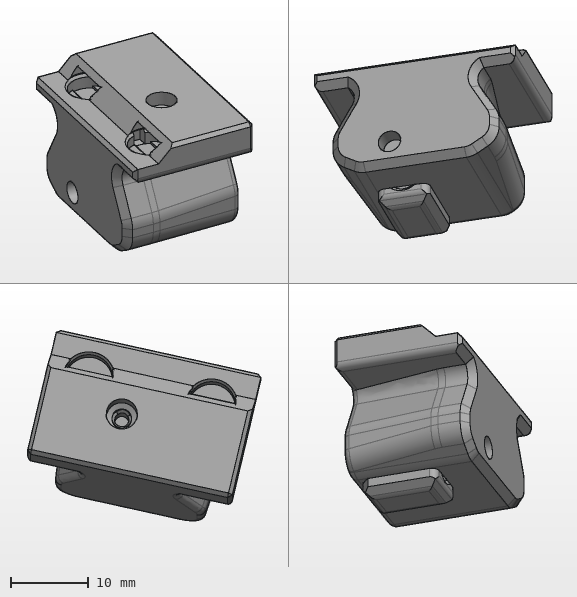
import cadquery as cq
import math

length = 27.0
width = 17.5
plate_bottom_z = 12.9
ledge_z = 15.28
plate_top_z = 17.58
slope_top_y = -2.95
edge_chamfer = 0.5
front_chamfer = 1.0
back_fillet = 0.92
plate_side_fillet = 1.0

grip_half_width = 11.15
grip_radius = 3.0
neck_radius = 2.0
bottom_half_width = 6.78
shoulder_z = 5.0
taper_start_y = -4.72
taper_inset = 1.35
taper_blend_length = 1.0
neck_tangent_z_front = 10.3
neck_tangent_z_back = 10.9

pocket_x = 8.1
pocket_y = -3.4
pocket_diameter = 6.3
pocket_ceiling_z = 16.82
groove_diameter = 6.75
groove_top_z = 15.63
groove_middle_z = 15.34
groove_bottom_z = 14.95
notch_inner_x = 3.78
notch_outer_x = 5.43
notch_front_y = -4.3
notch_back_y = -2.7
notch_top_z = 15.4

disc_diameter = 6.1
disc_thickness = 0.49
disc_top_z = 13.64
slot_depth = 0.32
slot_bevel = 0.15
left_slot_y = (-4.55, -1.75)
right_slot_y = (-4.2, -2.02)

bore_x = 2.73
bore_y = 1.05
bore_diameter = 4.0
bore_depth = 1.92
bore_cone_depth = 0.35
neck_bore_diameter = 2.5
neck_bore_depth = 0.27
tip_bore_diameter = 1.8
tip_bore_depth = 2.15

button_x = -3.27
button_width = 6.97
button_front_y = -2.92
button_back_y = 7.5
button_bottom_z = -2.4
button_top_z = 5.0
button_corner = 1.0
button_rounding = 1.0
button_bottom_chamfer = 1.22
button_bore_diameter = 4.0
button_bore_z = 1.92
button_bore_depth = 4.0
button_bore_chamfer = 0.5

pin_hole_diameter = 3.0
pin_diameter = 2.9
pin_z = 3.45
pin_recess = 2.27

front_y = -width / 2
back_y = width / 2
facet_angle = 30
sin_facet = math.sin(math.radians(facet_angle))
cos_facet = math.cos(math.radians(facet_angle))
tan_facet = math.tan(math.radians(facet_angle))


def point_on_circle(center, radius, degrees):
    angle = math.radians(degrees)
    return (center[0] + radius * math.cos(angle), center[1] + radius * math.sin(angle))


def grip_profile(y, inset, neck_tangent_z):
    """Closed grip outline at the given Y, symmetric about X = 0."""
    half_width = grip_half_width - inset

    bottom_center = (bottom_half_width, grip_radius)
    facet_start = point_on_circle(bottom_center, grip_radius, facet_angle - 90)
    facet_rise = (half_width - facet_start[0]) * tan_facet
    corner_z = facet_start[1] + facet_rise + grip_radius * tan_facet
    corner_center = (half_width - grip_radius, corner_z)

    shoulder_center = (half_width - grip_radius, shoulder_z)
    shoulder_end = point_on_circle(shoulder_center, grip_radius, facet_angle)
    neck_start = (shoulder_end[0] - (neck_tangent_z - shoulder_end[1]) * tan_facet, neck_tangent_z)
    neck_center = (neck_start[0] + neck_radius * cos_facet, neck_start[1] + neck_radius * sin_facet)
    neck_start_angle = 180 + facet_angle
    neck_end_angle = 180 - math.degrees(math.asin((plate_bottom_z - neck_center[1]) / neck_radius))

    arcs = [
        (bottom_center, grip_radius, -90, facet_angle - 90),
        (corner_center, grip_radius, facet_angle - 90, 0),
        (shoulder_center, grip_radius, 0, facet_angle),
        (neck_center, neck_radius, neck_start_angle, neck_end_angle),
    ]
    right_side = [
        [point_on_circle(center, radius, angle) for angle in (start, (start + end) / 2, end)]
        for center, radius, start, end in arcs
    ]
    left_side = [[(-x, z) for x, z in reversed(arc)] for arc in reversed(right_side)]

    outline = cq.Workplane("XZ", origin=(0, y, 0)).moveTo(-bottom_half_width, 0)
    for start, middle, end in right_side + left_side:
        outline = outline.lineTo(*start).threePointArc(middle, end)
    return outline.close()


def z_cylinder(x, y, diameter, bottom_z, top_z):
    return cq.Workplane(origin=(x, y, bottom_z)).circle(diameter / 2).extrude(top_z - bottom_z)


def box_between(low, high):
    size = [b - a for a, b in zip(low, high)]
    return cq.Workplane().box(*size, centered=False).translate(tuple(low))


def bottom_edges_at(y):
    """Selects the edges at the given Y that run around the grip and the plate bottom."""
    margin = 0.03
    return cq.selectors.BoxSelector(
        (-length, y - margin, -margin), (length, y + margin, plate_bottom_z + margin)
    )


def make_grip():
    """Straight front stretch, a short gentle taper, then the full taper to the back."""
    straight = grip_profile(front_y, 0, neck_tangent_z_front).extrude(front_y - taper_start_y)

    full_taper_y = taper_start_y + taper_blend_length
    kink_y = (taper_start_y + full_taper_y) / 2
    blend_share = (full_taper_y - kink_y) / (back_y - kink_y)
    neck_rise = neck_tangent_z_back - neck_tangent_z_front
    sections = [
        grip_profile(y, share * taper_inset, neck_tangent_z_front + share * neck_rise).wires().val()
        for y, share in ((taper_start_y, 0), (full_taper_y, blend_share), (back_y, 1))
    ]
    return straight.union(cq.Workplane(cq.Solid.makeLoft(sections, True)))


def make_envelope():
    """Block with the chamfered corners and the chamfered top of the plate."""
    block = box_between((-length / 2, front_y, 0), (length / 2, back_y, plate_top_z))
    top_edges = block.faces(">Z").edges(">Y or <X or >X").vals()
    return block.edges("|Z").add(top_edges).chamfer(edge_chamfer)


def make_front_step():
    """Material removed above the slope, the ledge and its front chamfer."""
    slope_bottom_y = slope_top_y - (plate_top_z - ledge_z)
    return (
        cq.Workplane("YZ", origin=(-length / 2, 0, 0))
        .moveTo(slope_top_y, plate_top_z)
        .lineTo(slope_bottom_y, ledge_z)
        .lineTo(front_y + edge_chamfer, ledge_z)
        .lineTo(front_y, ledge_z - edge_chamfer)
        .lineTo(front_y, plate_top_z)
        .close()
        .extrude(length)
    )


def make_side_rounding(side):
    """Material outside the rounded bottom edge of the plate; side is -1 or 1."""
    outer_x = side * length / 2
    inner_x = outer_x - side * plate_side_fillet
    center = (inner_x, plate_bottom_z + plate_side_fillet)
    middle = point_on_circle(center, plate_side_fillet, -90 + side * 45)
    return (
        cq.Workplane("XZ", origin=(0, back_y, 0))
        .moveTo(inner_x, plate_bottom_z)
        .threePointArc(middle, (outer_x, center[1]))
        .lineTo(outer_x, plate_bottom_z)
        .close()
        .extrude(width)
    )


def make_pocket(side):
    """Grooved round pocket with a ceiling, its side notch and the seat of the disc."""
    wall = pocket_diameter / 2
    seat = disc_diameter / 2
    profile = [
        (0, disc_top_z - disc_thickness),
        (seat, disc_top_z - disc_thickness),
        (seat, groove_bottom_z),
        (groove_diameter / 2, groove_middle_z),
        (wall, groove_top_z),
        (wall, pocket_ceiling_z),
        (0, pocket_ceiling_z),
    ]
    pocket = cq.Workplane("XZ").polyline(profile).close().revolve(360, (0, 0), (0, 1))
    pocket = pocket.translate((side * pocket_x, pocket_y, 0))
    notch_x = sorted((side * notch_inner_x, side * notch_outer_x))
    notch = box_between(
        (notch_x[0], notch_front_y, disc_top_z - slot_depth), (notch_x[1], notch_back_y, notch_top_z)
    )
    return pocket.union(notch)


def make_stepped_bore():
    """Bore, cone and neck, then a neck end with four slanted flats and the tip bore."""
    cone_z = plate_top_z - bore_depth
    neck_z = cone_z - bore_cone_depth
    flats_z = neck_z - neck_bore_depth
    flats_end_width = tip_bore_diameter / math.sqrt(2)
    flats_depth = (neck_bore_diameter - flats_end_width) / 2
    profile = [
        (0, flats_z),
        (neck_bore_diameter / 2, flats_z),
        (neck_bore_diameter / 2, neck_z),
        (bore_diameter / 2, cone_z),
        (bore_diameter / 2, plate_top_z),
        (0, plate_top_z),
    ]
    bore = cq.Workplane("XZ").polyline(profile).close().revolve(360, (0, 0), (0, 1))
    bore = bore.translate((bore_x, bore_y, 0))
    pyramid = (
        cq.Workplane(origin=(bore_x, bore_y, flats_z))
        .rect(neck_bore_diameter, neck_bore_diameter)
        .workplane(offset=-flats_depth)
        .rect(flats_end_width, flats_end_width)
        .loft(ruled=True)
    )
    flats = pyramid.intersect(
        z_cylinder(bore_x, bore_y, neck_bore_diameter, flats_z - flats_depth, flats_z)
    )
    tip = z_cylinder(bore_x, bore_y, tip_bore_diameter, flats_z - tip_bore_depth, flats_z)
    return bore.union(flats).union(tip)


def make_button_box():
    return box_between(
        (button_x - button_width / 2, button_front_y, button_bottom_z),
        (button_x + button_width / 2, button_back_y, button_top_z),
    )


def make_button_block():
    """Button with its four vertical edges shaped and the bottom still plain."""
    block = make_button_box()
    block = block.faces(">Y").edges("|Z").chamfer(button_corner)
    return block.faces("<Y").edges("|Z").fillet(button_corner)


def make_button():
    rounded_box = make_button_box().faces("<Z").edges().chamfer(button_bottom_chamfer)
    front_edge = rounded_box.faces("<Y").edges("<Z").vals()
    rounded_box = rounded_box.faces("<Z").edges().add(front_edge).fillet(button_rounding)
    button = make_button_block().intersect(rounded_box)
    radius = button_bore_diameter / 2
    bore_profile = [
        (0, 0),
        (radius + button_bore_chamfer, 0),
        (radius, button_bore_chamfer),
        (radius, button_bore_depth),
        (0, button_bore_depth),
    ]
    bore = cq.Workplane("XY").polyline(bore_profile).close().revolve(360, (0, 0), (0, 1))
    return button.cut(bore.translate((button_x, button_front_y, button_bore_z)))


def pin_axis_cylinder(diameter, start_y, end_y):
    """Cylinder on the pin axis, which runs along Y."""
    axis_plane = cq.Workplane("XZ", origin=(button_x, start_y, pin_z))
    return axis_plane.circle(diameter / 2).extrude(start_y - end_y)


def make_housing():
    plate = box_between((-length / 2, front_y, plate_bottom_z), (length / 2, back_y, plate_top_z))
    housing = make_grip().union(plate)
    housing = housing.edges(bottom_edges_at(front_y)).chamfer(front_chamfer)
    housing = housing.edges(bottom_edges_at(back_y)).fillet(back_fillet)
    left_half = housing.intersect(box_between((-length, front_y, 0), (0, back_y, plate_top_z)))
    housing = left_half.union(left_half.mirror("YZ"))
    housing = housing.intersect(make_envelope()).cut(make_front_step())
    for side in (-1, 1):
        housing = housing.cut(make_side_rounding(side)).cut(make_pocket(side))
    housing = housing.cut(make_stepped_bore())
    housing = housing.cut(make_button_block())
    return housing.cut(pin_axis_cylinder(pin_hole_diameter, front_y, button_front_y))


def make_disc(side, slot_y):
    """Disc on a pocket floor, with a wide shallow slot along X."""
    disc = z_cylinder(
        side * pocket_x, pocket_y, disc_diameter, disc_top_z - disc_thickness, disc_top_z
    )
    slot_front_y, slot_back_y = slot_y
    slot_floor_z = disc_top_z - slot_depth
    slot = (
        cq.Workplane("YZ", origin=(-length / 2, 0, 0))
        .moveTo(slot_front_y, disc_top_z)
        .lineTo(slot_front_y + slot_bevel, slot_floor_z)
        .lineTo(slot_back_y, slot_floor_z)
        .lineTo(slot_back_y, disc_top_z)
        .close()
        .extrude(length)
    )
    return disc.cut(slot)


def make_pin():
    return pin_axis_cylinder(pin_diameter, front_y + pin_recess, button_front_y)


housing = make_housing()
button = make_button()
pin = make_pin()
discs = [make_disc(side, slot_y) for side, slot_y in ((-1, left_slot_y), (1, right_slot_y))]

result = cq.Compound.makeCompound(
    [housing.val(), button.val(), pin.val()] + [disc.val() for disc in discs]
)